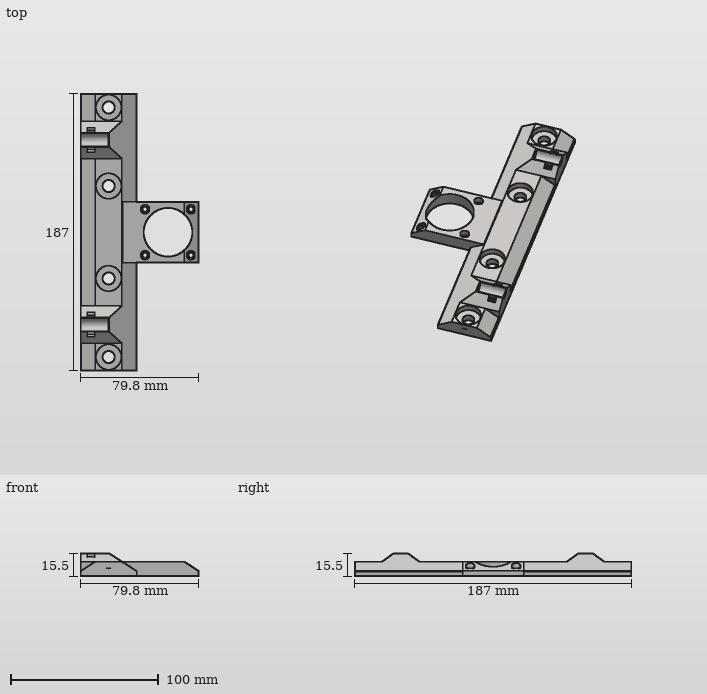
import cadquery as cq
import math

rail_length = 187
rail_width = 38.0
rail_height = 10.0
edge_height = 3.0
lip_height = 0.7
bevel_angle = 33
bevel_run_per_rise = 1 / math.tan(math.radians(bevel_angle))
lip_run = lip_height / bevel_run_per_rise
bevel_base_height = edge_height + lip_height
bevel_run = (rail_height - bevel_base_height) * bevel_run_per_rise
rail_top_start = lip_run + bevel_run
rail_top_end = rail_width - rail_top_start

screw_x = rail_width / 2
screw_ys = (-84.3, -31.2, 31.2, 84.3)
screw_diameter = 8.0
screw_head_diameter = 17.2
screw_head_depth = 4.7

cradle_ys = (-62.5, 62.5)
cradle_width = 25.2
cradle_top_width = 9.7
cradle_height = 15.5
cradle_rise = cradle_height - rail_height
cradle_top_end = rail_top_end - cradle_rise * bevel_run_per_rise
groove_diameter = 8.6
groove_end_x = 18.7
groove_end_wall = 0.2

tie_slot_x = 4.5
tie_slot_length = 5.0
tie_mouth_depth = 2.5
tie_channel_inner_radius = 5.5
tie_channel_outer_radius = 7.0

plate_start_x = 28.5
plate_end_x = 79.8
plate_width = 41.1
plate_edge_height = 3.5
plate_top_end = plate_end_x - (rail_height - plate_edge_height) * bevel_run_per_rise
motor_x = 59.0
motor_bore_diameter = 32.7
motor_screw_pitch = 31.0
motor_screw_diameter = 3.4
motor_screw_head_diameter = 6.0
motor_screw_head_depth = 4.7


def extrude_along_y(points, length, center_y=0):
    """Extrude an XZ outline symmetrically about the plane Y = center_y."""
    outline = cq.Workplane("XZ", origin=(0, center_y, 0)).polyline(points).close()
    return outline.extrude(length / 2, both=True)


def make_rail():
    outline = [
        (0, 0),
        (rail_width, 0),
        (rail_width, edge_height),
        (rail_width - lip_run, bevel_base_height),
        (rail_top_end, rail_height),
        (rail_top_start, rail_height),
        (lip_run, bevel_base_height),
        (0, edge_height),
    ]
    return extrude_along_y(outline, rail_length)


def make_plate():
    outline = [
        (plate_start_x, 0),
        (plate_end_x, 0),
        (plate_end_x, plate_edge_height),
        (plate_top_end, rail_height),
        (plate_start_x, rail_height),
    ]
    return extrude_along_y(outline, plate_width)


def make_cradle(center_y):
    """Block whose front continues the rail bevel and whose sides slope in above the rail."""
    front_outline = [
        (0, 0),
        (rail_top_end, 0),
        (rail_top_end, rail_height),
        (cradle_top_end, cradle_height),
        (0, cradle_height),
    ]
    half_width = cradle_width / 2
    half_top = cradle_top_width / 2
    end_outline = [
        (-half_width, 0),
        (half_width, 0),
        (half_width, rail_height),
        (half_top, cradle_height),
        (-half_top, cradle_height),
        (-half_width, rail_height),
    ]
    end_plane = cq.Workplane("YZ", origin=(0, center_y, 0))
    end_prism = end_plane.polyline(end_outline).close().extrude(rail_top_end)
    return extrude_along_y(front_outline, cradle_width, center_y).intersect(end_prism)


def make_groove(center_y):
    """Half-round trough centred on the cradle top, closed by a thin wall at the back."""
    start = cq.Workplane("YZ", origin=(groove_end_wall, center_y, cradle_height))
    return start.circle(groove_diameter / 2).extrude(groove_end_x - groove_end_wall)


def make_tie_slot(center_y):
    start = cq.Workplane("YZ", origin=(tie_slot_x, center_y, cradle_height))
    ring = (
        start.circle(tie_channel_outer_radius)
        .circle(tie_channel_inner_radius)
        .extrude(tie_slot_length)
    )
    below_mouths = (
        start.center(0, -tie_mouth_depth - tie_channel_outer_radius / 2)
        .rect(2 * tie_channel_outer_radius, tie_channel_outer_radius)
        .extrude(tie_slot_length)
    )
    slot = ring.intersect(below_mouths)
    mouth_width = (cradle_width - cradle_top_width) / 2
    for side in (-1, 1):
        mouth = (
            start.center(side * (cradle_top_width + mouth_width) / 2, -tie_mouth_depth / 2)
            .rect(mouth_width, tie_mouth_depth)
            .extrude(tie_slot_length)
        )
        slot = slot.union(mouth)
    return slot


def make_counterbored_holes(points, diameter, head_diameter, head_depth):
    """Through holes with heads sunk from the level of the rail top."""
    floor = cq.Workplane("XY", origin=(0, 0, rail_height - head_depth))
    heads = floor.pushPoints(points).circle(head_diameter / 2).extrude(head_depth)
    holes = cq.Workplane("XY").pushPoints(points).circle(diameter / 2).extrude(rail_height)
    return holes.union(heads)


result = make_rail().union(make_plate())

for cradle_y in cradle_ys:
    result = result.union(make_cradle(cradle_y))
    result = result.cut(make_groove(cradle_y))
    result = result.cut(make_tie_slot(cradle_y))

rail_screws = [(screw_x, y) for y in screw_ys]
result = result.cut(
    make_counterbored_holes(rail_screws, screw_diameter, screw_head_diameter, screw_head_depth)
)

half_pitch = motor_screw_pitch / 2
motor_screws = [
    (motor_x + x_side * half_pitch, y_side * half_pitch)
    for x_side in (-1, 1)
    for y_side in (-1, 1)
]
result = result.cut(
    make_counterbored_holes(
        motor_screws,
        motor_screw_diameter,
        motor_screw_head_diameter,
        motor_screw_head_depth,
    )
)

motor_bore = cq.Workplane("XY").center(motor_x, 0).circle(motor_bore_diameter / 2)
result = result.cut(motor_bore.extrude(rail_height))